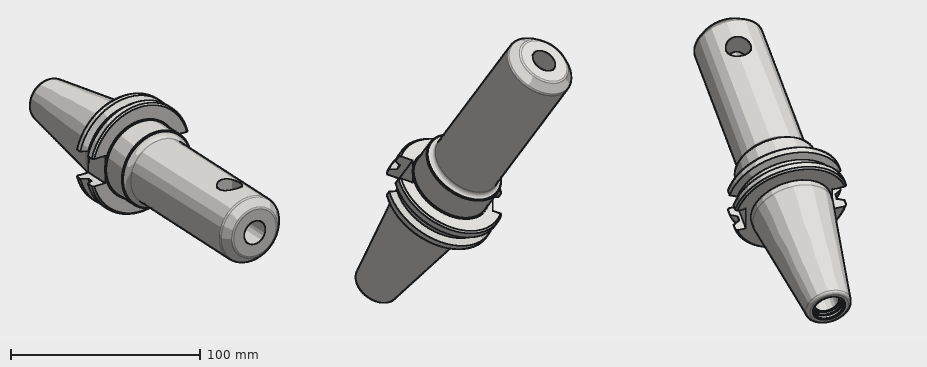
import cadquery as cq
import math

total_length = 195.2
taper_length = 68.3
flange_start = 71.7
flange_width = 15.8
collar_end = 103.0
flange_end = flange_start + flange_width

gauge_radius = 44.5 / 2
taper_ratio = 7 / 24
nose_radius = gauge_radius - taper_length * taper_ratio / 2
nose_round = 2.0
collar_chamfer = 0.5

flange_radius = 63.3 / 2
flange_chamfer = 1.0
groove_start = 75.8
groove_floor_width = 3.1
groove_depth = 3.5
groove_side_run = groove_depth * math.tan(math.radians(30))
flange_root_round = 0.5

slot_width = 16.0
front_slot_floor = 22.6
back_slot_floor = 25.0

shank_radius = 38.0 / 2
shank_chamfer = 4.9
shank_edge_round = 1.5
neck_round = 3.1

bore_radius = 13.5 / 2
mouth_radius = 9.0
pilot_radius = 16.8 / 2
pilot_depth = 2.3
thread_radius = 15.8 / 2
thread_depth = 4.3
radial_hole_radius = 13.5 / 2
radial_hole_x = 171.5


def revolve_about_x(profile):
    return profile.close().revolve(360, (0, 0, 0), (1, 0, 0))


def make_taper():
    taper = revolve_about_x(
        cq.Workplane("XY")
        .lineTo(0, nose_radius)
        .lineTo(taper_length, gauge_radius)
        .lineTo(flange_start, gauge_radius)
        .lineTo(flange_start, 0)
    )
    return taper.faces("<X").edges().fillet(nose_round)


def make_flange():
    floor_radius = flange_radius - groove_depth
    floor_start = groove_start + groove_side_run
    floor_end = floor_start + groove_floor_width
    flange = revolve_about_x(
        cq.Workplane("XY")
        .moveTo(flange_start, 0)
        .lineTo(flange_start, flange_radius - flange_chamfer)
        .lineTo(flange_start + flange_chamfer, flange_radius)
        .lineTo(groove_start, flange_radius)
        .lineTo(floor_start, floor_radius)
        .lineTo(floor_end, floor_radius)
        .lineTo(floor_end + groove_side_run, flange_radius)
        .lineTo(flange_end - flange_chamfer, flange_radius)
        .lineTo(flange_end, flange_radius - flange_chamfer)
        .lineTo(flange_end, 0)
    )
    for side, floor in ((-1, front_slot_floor), (1, back_slot_floor)):
        slot = cq.Workplane("XY").box(flange_width, flange_radius, slot_width)
        center_x = flange_start + flange_width / 2
        center_y = side * (floor + flange_radius / 2)
        flange = flange.cut(slot.translate((center_x, center_y, 0)))
    return flange


def make_collar():
    neck_start_radius = gauge_radius - collar_chamfer
    sweep = math.acos(1 - (neck_start_radius - shank_radius) / neck_round)
    neck_end = collar_end + neck_round * math.sin(sweep)
    neck_middle = (
        neck_end - neck_round * math.sin(sweep / 2),
        shank_radius + neck_round * (1 - math.cos(sweep / 2)),
    )
    root_step = flange_root_round * (1 - math.sqrt(0.5))
    return revolve_about_x(
        cq.Workplane("XY")
        .moveTo(flange_end, 0)
        .lineTo(flange_end, gauge_radius + flange_root_round)
        .threePointArc(
            (flange_end + root_step, gauge_radius + root_step),
            (flange_end + flange_root_round, gauge_radius),
        )
        .lineTo(collar_end - collar_chamfer, gauge_radius)
        .lineTo(collar_end, neck_start_radius)
        .threePointArc(neck_middle, (neck_end, shank_radius))
        .lineTo(neck_end, 0)
    )


def make_shank():
    length = total_length - collar_end
    shank = cq.Workplane("YZ", origin=(collar_end, 0, 0)).circle(shank_radius).extrude(length)
    shank = shank.faces(">X").edges().chamfer(shank_chamfer)
    rounded_edges = cq.selectors.BoxSelector(
        (total_length - 2 * shank_chamfer, -shank_radius, -shank_radius),
        (total_length + shank_chamfer, shank_radius, shank_radius),
    )
    return shank.edges(rounded_edges).edges("%CIRCLE").fillet(shank_edge_round)


def make_bore():
    mouth_depth = mouth_radius - pilot_radius
    return revolve_about_x(
        cq.Workplane("XY")
        .lineTo(0, mouth_radius)
        .lineTo(mouth_depth, pilot_radius)
        .lineTo(pilot_depth, pilot_radius)
        .lineTo(pilot_depth + pilot_radius - thread_radius, thread_radius)
        .lineTo(thread_depth, thread_radius)
        .lineTo(thread_depth, bore_radius)
        .lineTo(total_length, bore_radius)
        .lineTo(total_length, 0)
    )


def make_radial_hole():
    return cq.Workplane("XY").center(radial_hole_x, 0).circle(radial_hole_radius).extrude(2 * shank_radius)


body = make_taper().union(make_flange()).union(make_collar()).union(make_shank())
result = body.cut(make_bore()).cut(make_radial_hole())